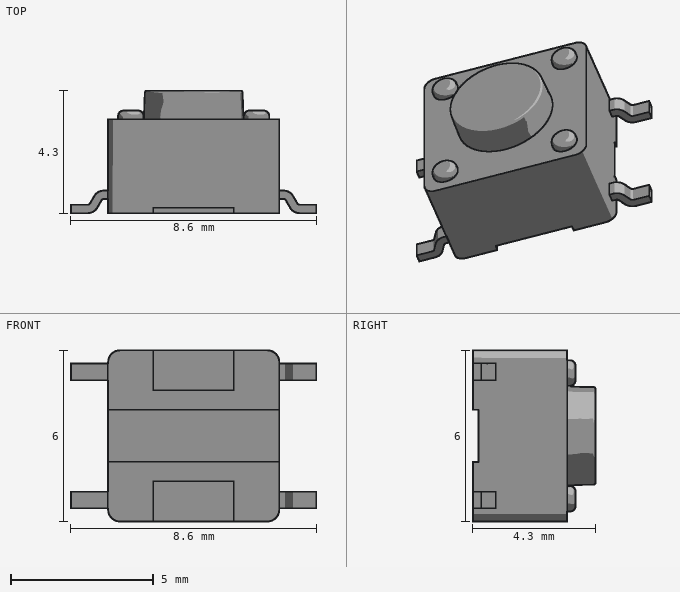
import cadquery as cq
import math


body_side = 6.0
body_height = 3.3
body_corner_radius = 0.42

recess_depth = 0.2
groove_width = 1.815
pocket_width = 2.82
pocket_length = 1.41

overall_height = 4.3
button_base_diameter = 3.5
button_tip_diameter = 3.43
button_edge_radius = 0.09

peg_diameter = 0.9
peg_height = 0.3
peg_edge_radius = 0.21
peg_offset = 2.2

lead_span = 8.6
lead_thickness = 0.3
lead_width = 0.59
lead_offset = 2.245
lead_step = 0.5
foot_length = 0.585
bend_angle = math.radians(60)
bend_inner_radius = 0.095
lead_embed = 0.09


def make_body():
    body = cq.Workplane("XY").box(body_side, body_height, body_side, centered=(True, False, True))
    return body.edges("|Y").fillet(body_corner_radius)


def cut_recesses(body):
    groove = cq.Workplane("XY").box(
        body_side, recess_depth, groove_width, centered=(True, False, True)
    )
    body = body.cut(groove)
    pocket_center = (body_side - pocket_length) / 2
    for side in (-1, 1):
        pocket = cq.Workplane("XY").box(
            pocket_width, recess_depth, pocket_length, centered=(True, False, True)
        )
        body = body.cut(pocket.translate((0, 0, side * pocket_center)))
    return body


def make_button():
    """Slightly tapered round button with a rounded tip edge."""
    button_height = overall_height - body_height
    button = (
        cq.Workplane("XZ", origin=(0, body_height, 0))
        .circle(button_base_diameter / 2)
        .workplane(offset=-button_height)
        .circle(button_tip_diameter / 2)
        .loft()
    )
    return button.faces(">Y").edges().fillet(button_edge_radius)


def make_peg(x, z):
    peg = (
        cq.Workplane("XZ", origin=(x, body_height, z))
        .circle(peg_diameter / 2)
        .extrude(-peg_height)
    )
    return peg.faces(">Y").edges().fillet(peg_edge_radius)


def make_lead(side, z):
    """S-bent strip: flat foot, two equal and opposite bends, then a shank into the body."""
    bend_outer_radius = bend_inner_radius + lead_thickness
    sin_bend = math.sin(bend_angle)
    cos_bend = math.cos(bend_angle)
    bends_rise = (bend_inner_radius + bend_outer_radius) * (1 - cos_bend)
    bends_run = (bend_inner_radius + bend_outer_radius) * sin_bend
    ramp_run = (lead_step - bends_rise) * cos_bend / sin_bend

    tip_x = -lead_span / 2
    low_x = tip_x + foot_length
    low_y = bend_outer_radius
    high_x = low_x + bends_run + ramp_run
    high_y = lead_step - bend_inner_radius
    root_x = -body_side / 2 + lead_embed

    def on_low_bend(radius, angle):
        return (low_x + radius * math.sin(angle), low_y - radius * math.cos(angle))

    def on_high_bend(radius, angle):
        return (high_x - radius * math.sin(angle), high_y + radius * math.cos(angle))

    half = bend_angle / 2
    profile = (
        cq.Workplane("XY", origin=(0, 0, z - lead_width / 2))
        .moveTo(tip_x, 0)
        .lineTo(low_x, 0)
        .threePointArc(on_low_bend(bend_outer_radius, half), on_low_bend(bend_outer_radius, bend_angle))
        .lineTo(*on_high_bend(bend_inner_radius, bend_angle))
        .threePointArc(on_high_bend(bend_inner_radius, half), on_high_bend(bend_inner_radius, 0))
        .lineTo(root_x, lead_step)
        .lineTo(root_x, lead_step + lead_thickness)
        .lineTo(*on_high_bend(bend_outer_radius, 0))
        .threePointArc(on_high_bend(bend_outer_radius, half), on_high_bend(bend_outer_radius, bend_angle))
        .lineTo(*on_low_bend(bend_inner_radius, bend_angle))
        .threePointArc(on_low_bend(bend_inner_radius, half), on_low_bend(bend_inner_radius, 0))
        .lineTo(tip_x, lead_thickness)
        .close()
    )
    lead = profile.extrude(lead_width)
    return lead if side < 0 else lead.mirror("YZ")


result = cut_recesses(make_body()).union(make_button())
for x_side in (-1, 1):
    for z_side in (-1, 1):
        result = result.union(make_peg(x_side * peg_offset, z_side * peg_offset))
        result = result.union(make_lead(x_side, z_side * lead_offset))